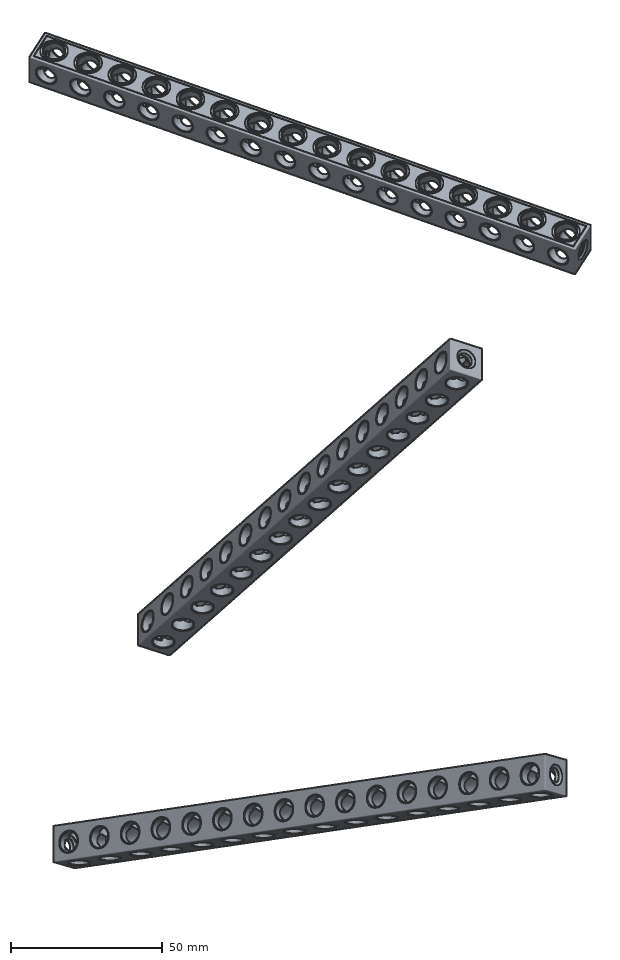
import cadquery as cq

length = 200.0
side = 12.5
edge_radius = 0.3

hole_count = 16
pitch = length / hole_count
hole_diameter = 7.0
mouth_diameter = 7.5
mouth_depth = 0.2
hole_places = [((i - (hole_count - 1) / 2) * pitch, 0) for i in range(hole_count)]

ring_diameter = 9.2
rim_width = 1.2
recess_depth = 0.2

bore_diameter = 5.0
channel_diameter = 7.0
channel_length = (hole_count - 3) * pitch

groove_diameter = 7.0
groove_pitch = 1.5
groove_count = 4
groove_width = 0.9 * groove_pitch


def square_beam():
    return cq.Workplane("XY").box(length, side, side).edges().fillet(edge_radius)


def top_recess():
    """Shallow pocket in the +Z face that leaves a rim and a ring round each hole."""
    floor = cq.Workplane("XY").workplane(offset=side / 2 - recess_depth)
    pocket = floor.rect(length - 2 * rim_width, side - 2 * rim_width).extrude(recess_depth)
    rings = floor.pushPoints(hole_places).circle(ring_diameter / 2).extrude(recess_depth)
    return pocket.cut(rings)


def cross_holes(plane):
    """Row of through holes normal to the plane, each with a shallow counterbore at both mouths."""
    holes = cq.Workplane(plane).pushPoints(hole_places).circle(hole_diameter / 2).extrude(side / 2, both=True)
    for outward in (1, -1):
        face = cq.Workplane(plane).workplane(offset=outward * side / 2)
        mouths = face.pushPoints(hole_places).circle(mouth_diameter / 2).extrude(-outward * mouth_depth)
        holes = holes.union(mouths)
    return holes


def rod_along_x(diameter, rod_length):
    return cq.Workplane("YZ").circle(diameter / 2).extrude(rod_length / 2, both=True)


def end_grooves():
    """V-shaped ring grooves at the -X end; the first one opens through the end face."""
    bore_radius = bore_diameter / 2
    grooves = cq.Workplane("XY")
    for i in range(groove_count):
        center = -length / 2 + i * groove_pitch
        start = center - groove_width / 2
        finish = center + groove_width / 2
        half_section = cq.Workplane("XY").polyline(
            [
                (start, 0),
                (start, bore_radius),
                (center, groove_diameter / 2),
                (finish, bore_radius),
                (finish, 0),
            ]
        ).close()
        grooves = grooves.add(half_section.revolve(360, (0, 0, 0), (1, 0, 0)))
    return grooves.combine()


left_grooves = end_grooves()

result = (
    square_beam()
    .cut(top_recess())
    .cut(cross_holes("XY"))
    .cut(cross_holes("XZ"))
    .cut(rod_along_x(bore_diameter, length))
    .cut(rod_along_x(channel_diameter, channel_length))
    .cut(left_grooves)
    .cut(left_grooves.mirror("YZ"))
)